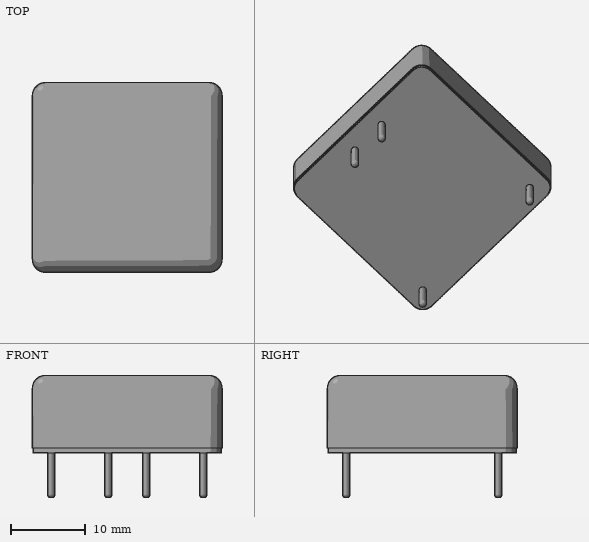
import cadquery as cq

side = 25.4
total_height = 16.35
pin_length = 6.0
body_height = total_height - pin_length

edge_radius = 1.78
base_height = 0.6
base_inset = 0.13
base_side = side - 2 * base_inset
cover_height = body_height - base_height

pin_diameter = 1.0
tip_radius = 0.4
pin_pitch = 2.55
row_offset = 4 * pin_pitch
pin_positions = [
    (-row_offset, -row_offset),
    (row_offset, -row_offset),
    (-pin_pitch, row_offset),
    (pin_pitch, row_offset),
]


def make_base():
    """Flat plate with rounded corners, its underside at Z = 0."""
    plate = cq.Workplane("XY").box(base_side, base_side, base_height, centered=(True, True, False))
    return plate.edges("|Z").fillet(edge_radius - base_inset)


def make_cover():
    """Block with equally rounded vertical and top edges."""
    block = cq.Workplane("XY").workplane(offset=base_height)
    block = block.box(side, side, cover_height, centered=(True, True, False))
    return block.edges("|Z or >Z").fillet(edge_radius)


def make_pin(x, y):
    """Round pin hanging below the base, with a rounded tip."""
    pin = cq.Workplane("XY").center(x, y).circle(pin_diameter / 2).extrude(-pin_length)
    return pin.faces("<Z").edges().fillet(tip_radius)


result = make_base().union(make_cover())
for pin_x, pin_y in pin_positions:
    result = result.union(make_pin(pin_x, pin_y))